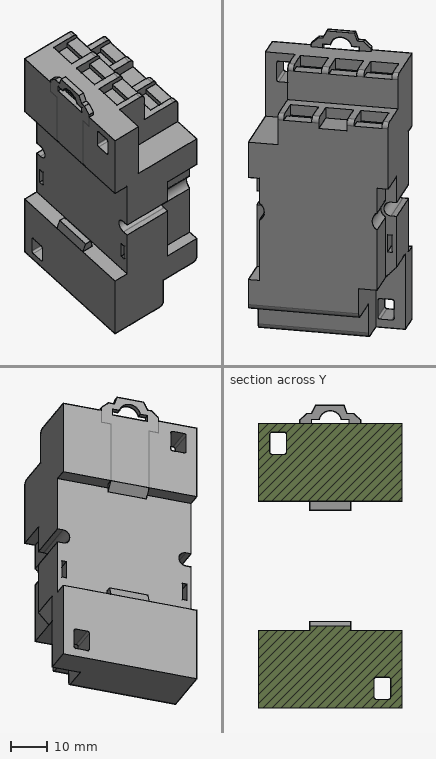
import cadquery as cq


WIDTH = 39.88
DEPTH = 29.21
HEIGHT = 79.0
STEP_DEPTH = 17.27
STEP_HEIGHT = 10.16
EDGE_RADIUS = 1.5
HALF_WIDTH = WIDTH / 2
MID_HEIGHT = HEIGHT / 2
UPPER_STEP = HEIGHT - STEP_HEIGHT

CHANNEL_HEIGHT = 35.8
CHANNEL_DEPTH = 4.32
CHANNEL_BOTTOM = MID_HEIGHT - CHANNEL_HEIGHT / 2
CHANNEL_TOP = MID_HEIGHT + CHANNEL_HEIGHT / 2

CORNER_CUT_WIDTH = 8.4
CORNER_CUT_HEIGHT = 19.1
CORNER_WALL = 8.4

PANEL_START = 18.8
PANEL_RECESS = 3.15
PANEL_TOP = 49.4
RAMP_HEIGHT = 3.3

GROOVE_RADIUS = 2.05
GROOVE_LENGTH = 3.65
PANEL_GROOVE_RADIUS = 2.95
GROOVE_CENTRE = HALF_WIDTH - GROOVE_LENGTH + GROOVE_RADIUS

MOUNT_WIDTH = 4.57
MOUNT_HEIGHT = 6.1
MOUNT_RADIUS = 0.6
MOUNT_SIDE_OFFSET = 5.5
MOUNT_END_OFFSET = 5.5
SLOT_WIDTH = 1.35
SLOT_HEIGHT = 5.1
SLOT_SIDE_OFFSET = 1.98
SLOT_CENTRE_HEIGHT = 29.2

TERMINAL_COUNT = 3
TERMINAL_WIDTH = 7.95
TERMINAL_PITCH = 10.03
TERMINAL_SIDE_OFFSET = 5.75
TERMINAL_FIRST = -HALF_WIDTH + TERMINAL_SIDE_OFFSET
TERMINAL_LENGTH = 8.35
LEDGE_LENGTH = 3.6
LEDGE_DROP = 1.55
FLOOR_DROP = 3.1
MIDDLE_TERMINAL = 1

CLIP_THICKNESS = 1.6
TONGUE_WIDTH = 11.43
CLIP_HEAD_WIDTH = 17.0
CLIP_HEAD_BOTTOM = 75.25
CLIP_HEAD_TOP = 79.95
CLIP_SHOULDER_WIDTH = 12.95
CLIP_SHOULDER = 81.8
CLIP_TOP = 84.07
CROWN_BASE_LEFT = -4.65
CROWN_BASE_RIGHT = 5.25
CROWN_TOP_LEFT = -3.85
CROWN_TOP_RIGHT = 4.05
CLIP_SLOT_WIDTH = 10.4
CLIP_SLOT_BOTTOM = 78.25
CLIP_SLOT_TOP = 80.05
CLIP_ARCH_WIDTH = 6.1
CLIP_ARCH_TOP = 82.5
UPPER_HOOK_DROP = 2.5
UPPER_HOOK_DEPTH = 2.1
LOWER_HOOK_RISE = 2.5
LOWER_HOOK_TIP_FRONT = 1.0
LOWER_HOOK_TIP_BACK = 2.8
LOWER_HOOK_BASE_BACK = 3.4


def block(x_range, y_range, z_range):
    """Axis-aligned box between the given limits."""
    size = [high - low for low, high in (x_range, y_range, z_range)]
    start = (x_range[0], y_range[0], z_range[0])
    return cq.Workplane("XY").box(*size, centered=False).translate(start)


def extrude_across(points, width):
    """Extrude a (Y, Z) outline symmetrically about the middle plane of the housing."""
    return cq.Workplane("YZ").polyline(points).close().extrude(width / 2, both=True)


def through_cutter(sketch, start=0.0):
    """Extrude an XZ sketch from the depth `start` to the socket face."""
    return sketch.extrude(-(DEPTH - start)).translate((0, start, 0))


def make_housing():
    outline = [
        (0, 0),
        (STEP_DEPTH, 0),
        (STEP_DEPTH, STEP_HEIGHT),
        (DEPTH, STEP_HEIGHT),
        (DEPTH, UPPER_STEP),
        (STEP_DEPTH, UPPER_STEP),
        (STEP_DEPTH, HEIGHT),
        (0, HEIGHT),
        (0, CHANNEL_TOP),
        (CHANNEL_DEPTH, CHANNEL_TOP),
        (CHANNEL_DEPTH, CHANNEL_BOTTOM),
        (0, CHANNEL_BOTTOM),
    ]
    housing = extrude_across(outline, WIDTH)
    rounded_edges = [
        (STEP_DEPTH, 0),
        (DEPTH, STEP_HEIGHT),
        (DEPTH, UPPER_STEP),
        (STEP_DEPTH, HEIGHT),
    ]
    for y, z in rounded_edges:
        edge = cq.selectors.NearestToPointSelector((0, y, z))
        housing = housing.edges("|X").edges(edge).fillet(EDGE_RADIUS)
    return housing


def cut_corners(housing):
    depth_range = (CORNER_WALL, DEPTH)
    inner = HALF_WIDTH - CORNER_CUT_WIDTH
    upper = block((inner, HALF_WIDTH), depth_range, (HEIGHT - CORNER_CUT_HEIGHT, HEIGHT))
    lower = block((-HALF_WIDTH, -inner), depth_range, (0, CORNER_CUT_HEIGHT))
    ramp = (
        cq.Workplane("XZ")
        .polyline(
            [
                (-HALF_WIDTH, CORNER_CUT_HEIGHT),
                (-HALF_WIDTH + PANEL_RECESS, CORNER_CUT_HEIGHT),
                (-HALF_WIDTH, CORNER_CUT_HEIGHT + RAMP_HEIGHT),
            ]
        )
        .close()
    )
    return housing.cut(upper).cut(lower).cut(through_cutter(ramp, CORNER_WALL))


def cut_sides(housing):
    """Recess the side panels and cut the grooves and slots on both sides."""
    for side in (-1, 1):
        edges = sorted((side * HALF_WIDTH, side * (HALF_WIDTH - PANEL_RECESS)))
        panel = block(edges, (PANEL_START, DEPTH), (CORNER_CUT_HEIGHT, PANEL_TOP))

        groove_x = side * GROOVE_CENTRE
        groove_end = cq.Workplane("XZ").center(groove_x, MID_HEIGHT).circle(GROOVE_RADIUS)
        mouth = block(
            sorted((groove_x, side * HALF_WIDTH)),
            (0, DEPTH),
            (MID_HEIGHT - GROOVE_RADIUS, MID_HEIGHT + GROOVE_RADIUS),
        )
        panel_groove = (
            cq.Workplane("XZ").center(groove_x, MID_HEIGHT).circle(PANEL_GROOVE_RADIUS)
        )
        slot = (
            cq.Workplane("XZ")
            .center(side * (HALF_WIDTH - SLOT_SIDE_OFFSET), SLOT_CENTRE_HEIGHT)
            .rect(SLOT_WIDTH, SLOT_HEIGHT)
        )
        housing = housing.cut(panel).cut(mouth).cut(through_cutter(groove_end))
        housing = housing.cut(through_cutter(panel_groove, PANEL_START))
        housing = housing.cut(through_cutter(slot))
    return housing


def cut_mounting_openings(housing):
    x = HALF_WIDTH - MOUNT_SIDE_OFFSET
    for centre in ((x, HEIGHT - MOUNT_END_OFFSET), (-x, MOUNT_END_OFFSET)):
        opening = through_cutter(
            cq.Workplane("XZ").center(*centre).rect(MOUNT_WIDTH, MOUNT_HEIGHT)
        )
        housing = housing.cut(opening.edges("|Y").fillet(MOUNT_RADIUS))
    return housing


def cut_terminals(housing):
    """Cut stepped pockets, open to the outer edge, in both upper terraces."""
    for edge, top in ((STEP_DEPTH, HEIGHT), (DEPTH, UPPER_STEP)):
        for index in range(TERMINAL_COUNT):
            left = TERMINAL_FIRST + index * TERMINAL_PITCH - TERMINAL_WIDTH / 2
            x_range = (left, left + TERMINAL_WIDTH)
            flat_floor = edge == DEPTH and index == MIDDLE_TERMINAL
            deep_end = edge if flat_floor else edge - LEDGE_LENGTH
            deep = block(x_range, (edge - TERMINAL_LENGTH, deep_end), (top - FLOOR_DROP, top))
            housing = housing.cut(deep)
            if not flat_floor:
                ledge = block(x_range, (deep_end, edge), (top - LEDGE_DROP, top))
                housing = housing.cut(ledge)
    return housing


def make_clip_plate():
    tongue = TONGUE_WIDTH / 2
    head = CLIP_HEAD_WIDTH / 2
    shoulder = CLIP_SHOULDER_WIDTH / 2
    return (
        cq.Workplane("XZ")
        .polyline(
            [
                (-tongue, CHANNEL_TOP),
                (-tongue, CLIP_HEAD_BOTTOM),
                (-head, CLIP_HEAD_BOTTOM),
                (-head, CLIP_HEAD_TOP),
                (-shoulder, CLIP_SHOULDER),
                (CROWN_BASE_LEFT, CLIP_SHOULDER),
                (CROWN_TOP_LEFT, CLIP_TOP),
                (CROWN_TOP_RIGHT, CLIP_TOP),
                (CROWN_BASE_RIGHT, CLIP_SHOULDER),
                (shoulder, CLIP_SHOULDER),
                (head, CLIP_HEAD_TOP),
                (head, CLIP_HEAD_BOTTOM),
                (tongue, CLIP_HEAD_BOTTOM),
                (tongue, CHANNEL_TOP),
            ]
        )
        .close()
        .extrude(-CLIP_THICKNESS)
    )


def make_clip_window():
    """Screwdriver slot of the clip with an arch above it."""
    slot = CLIP_SLOT_WIDTH / 2
    arch = CLIP_ARCH_WIDTH / 2
    return (
        cq.Workplane("XZ")
        .moveTo(-slot, CLIP_SLOT_BOTTOM)
        .lineTo(-slot, CLIP_SLOT_TOP)
        .lineTo(-arch, CLIP_SLOT_TOP)
        .threePointArc((0, CLIP_ARCH_TOP), (arch, CLIP_SLOT_TOP))
        .lineTo(slot, CLIP_SLOT_TOP)
        .lineTo(slot, CLIP_SLOT_BOTTOM)
        .close()
        .extrude(-CLIP_THICKNESS)
    )


def make_upper_hook():
    outline = [
        (0, CHANNEL_TOP),
        (UPPER_HOOK_DEPTH, CHANNEL_TOP - UPPER_HOOK_DROP),
        (UPPER_HOOK_DEPTH, CHANNEL_TOP),
    ]
    return extrude_across(outline, TONGUE_WIDTH)


def make_lower_hook():
    tip = CHANNEL_BOTTOM + LOWER_HOOK_RISE
    outline = [
        (0, CHANNEL_BOTTOM),
        (LOWER_HOOK_TIP_FRONT, tip),
        (LOWER_HOOK_TIP_BACK, tip),
        (LOWER_HOOK_BASE_BACK, CHANNEL_BOTTOM),
    ]
    return extrude_across(outline, TONGUE_WIDTH)


def add_rail_clip(housing):
    """Add the hooks, then seat the flush clip plate in a matching pocket of the housing."""
    housing = housing.union(make_lower_hook()).union(make_upper_hook())
    plate = make_clip_plate()
    window = make_clip_window()
    return housing.cut(plate).union(plate.cut(window), clean=False)


housing = make_housing()
housing = cut_corners(housing)
housing = cut_sides(housing)
housing = cut_mounting_openings(housing)
housing = cut_terminals(housing)
result = add_rail_clip(housing)